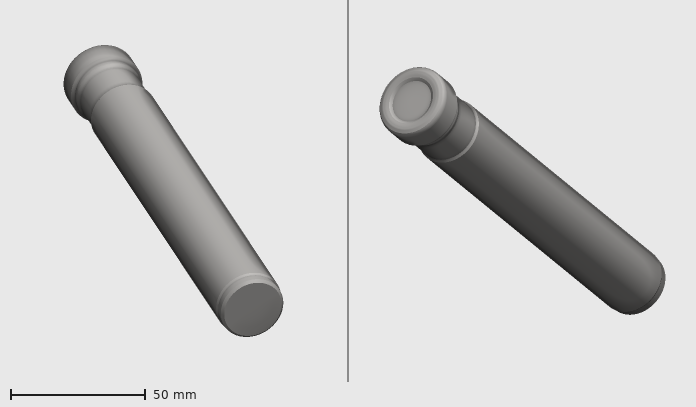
import cadquery as cq

overall_length = 180.08
head_length = 11.5
head_taper_length = 1.0
collar_end = 13.5
neck_start = 15.5
body_start = 30.0
body_step_length = 1.0
tail_length = 5.0
tail_chamfer = 1.0

head_diameter = 28.0
body_diameter = 25.5
neck_diameter = 24.0
tail_diameter = 24.5

recess_depth = 1.0
recess_floor_diameter = 16.2
recess_lip_drop = 0.25
recess_lip_diameter = 18.5

crest_inner_diameter = 21.6
crest_outer_diameter = 23.0
rim_inner_diameter = 20.0
rim_inner_drop = 0.1
rim_outer_diameter = 24.4
rim_outer_drop = 0.15
inner_rounding_mid = (0.03, 10.4)
outer_rounding_mid = (0.04, 11.87)

shoulder_start = 0.5
shoulder_start_diameter = 26.4
shoulder_length = 2.4

neck_blend_radius = 1.5


def revolve_about_x(half_section):
    return half_section.close().revolve(360, (0, 0, 0), (1, 0, 0))


def make_head():
    """Round head with a rounded rim, a dished front and a tapered back."""
    shoulder_run = shoulder_length - shoulder_start
    shoulder_rise = (head_diameter - shoulder_start_diameter) / 2
    shoulder_radius = (shoulder_run**2 + shoulder_rise**2) / (2 * shoulder_rise)
    half_section = (
        cq.Workplane("XY")
        .moveTo(recess_depth, 0)
        .lineTo(recess_depth, recess_floor_diameter / 2)
        .lineTo(recess_lip_drop, recess_lip_diameter / 2)
        .lineTo(rim_inner_drop, rim_inner_diameter / 2)
        .threePointArc(inner_rounding_mid, (0, crest_inner_diameter / 2))
        .lineTo(0, crest_outer_diameter / 2)
        .threePointArc(outer_rounding_mid, (rim_outer_drop, rim_outer_diameter / 2))
        .lineTo(shoulder_start, shoulder_start_diameter / 2)
        .radiusArc((shoulder_length, head_diameter / 2), shoulder_radius)
        .lineTo(head_length - head_taper_length, head_diameter / 2)
        .lineTo(head_length, body_diameter / 2)
        .lineTo(head_length, 0)
    )
    return revolve_about_x(half_section)


def make_shank():
    """Long round shank: collar, neck, main body and stepped, chamfered tail."""
    tail_start = overall_length - tail_length
    half_section = cq.Workplane("XY").polyline([
        (head_length, 0),
        (head_length, body_diameter / 2),
        (collar_end, body_diameter / 2),
        (neck_start, neck_diameter / 2),
        (body_start - body_step_length, neck_diameter / 2),
        (body_start, body_diameter / 2),
        (tail_start, body_diameter / 2),
        (tail_start + body_step_length, tail_diameter / 2),
        (overall_length - tail_chamfer, tail_diameter / 2),
        (overall_length, tail_diameter / 2 - tail_chamfer),
        (overall_length, 0),
    ])
    shank = revolve_about_x(half_section)
    margin = 0.1
    cone_zone = cq.selectors.BoxSelector(
        (collar_end - margin, -body_diameter, -body_diameter),
        (neck_start + margin, body_diameter, body_diameter),
        boundingbox=True,
    )
    return shank.edges(cone_zone).edges("%CIRCLE").fillet(neck_blend_radius)


head = make_head()
shank = make_shank()
result = cq.Compound.makeCompound([head.val(), shank.val()])